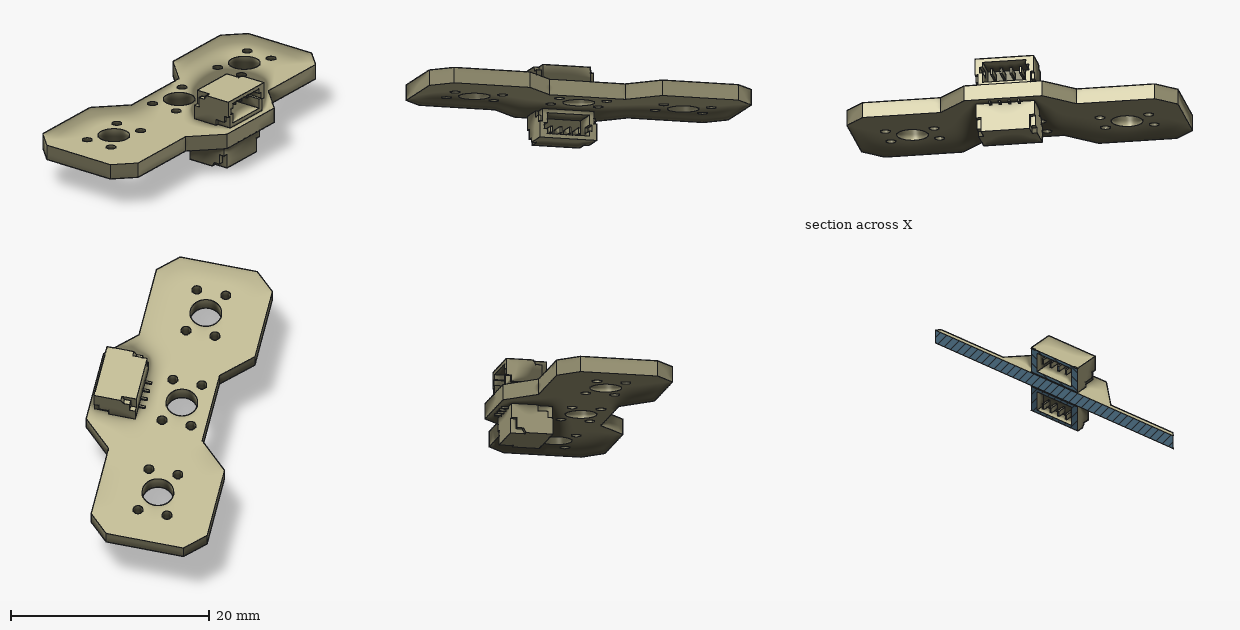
import cadquery as cq

BOARD_LENGTH = 34.0
BOARD_WIDTH = 15.0
BOARD_THICKNESS = 1.6
STEP = 3.0
CORNER_CHAMFER = 2.0
MIDDLE_LENGTH = 8.0

STATION_PITCH = 11.0
STATION_INSET = 6.0
BORE_DIAMETER = 3.2
SCREW_DIAMETER = 1.0
SCREW_SPACING_X = 3.0
SCREW_SPACING_Y = 5.0

OVERALL_HEIGHT = 7.6
STANDOFF = 0.05
HOUSING_HEIGHT = (OVERALL_HEIGHT - BOARD_THICKNESS) / 2 - STANDOFF
HOUSING_DEPTH = 4.3
HOUSING_WIDTH = 6.02
FRONT_X = 2.4
REAR_X = FRONT_X - HOUSING_DEPTH
CONNECTOR_AXIS_INSET = 3.0

REAR_NOTCH_WIDTH = 0.5
REAR_NOTCH_DEPTH = 1.5
REAR_NOTCH_SHORT = 0.58
REAR_RAMP_RUN = 0.27
REAR_LEDGE_DROP = 0.48
REAR_NOTCH_DROP = 1.5

FRONT_NOTCH_WIDTH = 0.3
FRONT_NOTCH_DEPTH = 1.53
FRONT_NOTCH_SHORT = 0.5
FRONT_LEDGE_HEIGHT = 0.6
FRONT_NOTCH_HEIGHT = 1.25

SOCKET_WIDTH = 4.42
SOCKET_WALL = 0.4
SOCKET_DEPTH = 3.0
KEY_DEPTH = 1.5
KEY_SPAN = 5.03
KEY_HEIGHT = 0.6
KEY_BASE = 1.43

CONTACT_COUNT = 4
CONTACT_PITCH = 1.0
CONTACT_WIDTH = 0.2
BLADE_BASE = 1.55
BLADE_HEIGHT = 0.6
BLADE_LENGTH = 2.05
TAIL_LENGTH = 0.68
TAIL_HEIGHT = 0.2


def make_board():
    left = -BOARD_WIDTH / 2
    right = BOARD_WIDTH / 2
    end = BOARD_LENGTH / 2
    shoulder = end - CORNER_CHAMFER
    middle = MIDDLE_LENGTH / 2
    upper_half = [
        (right, middle),
        (right - STEP, middle + STEP),
        (right - STEP, shoulder),
        (right - STEP - CORNER_CHAMFER, end),
        (left + CORNER_CHAMFER, end),
        (left, shoulder),
        (left, middle + STEP),
        (left + STEP, middle),
    ]
    lower_half = [(x, -y) for x, y in reversed(upper_half)]
    board = (
        cq.Workplane("XY")
        .workplane(offset=-BOARD_THICKNESS / 2)
        .polyline(upper_half + lower_half)
        .close()
        .extrude(BOARD_THICKNESS)
    )
    station_x = left + STATION_INSET
    for station in (-1, 0, 1):
        hole_plane = board.faces(">Z").workplane(origin=(station_x, station * STATION_PITCH, 0))
        board = hole_plane.hole(BORE_DIAMETER)
        hole_plane = board.faces(">Z").workplane(origin=(station_x, station * STATION_PITCH, 0))
        board = hole_plane.rarray(SCREW_SPACING_X, SCREW_SPACING_Y, 2, 2).hole(SCREW_DIAMETER)
    return board


def block(x_start, x_end, width, z_start, height, y_center=0):
    """Box centred across Y on y_center."""
    return (
        cq.Workplane("XY")
        .box(x_end - x_start, width, height, centered=(False, True, False))
        .translate((x_start, y_center, z_start))
    )


def side_notches(profile, width):
    """Cutters with an XZ profile, reaching one width into each side of the housing."""
    cutter = (
        cq.Workplane("XZ", origin=(0, HOUSING_WIDTH / 2, 0))
        .polyline(profile)
        .close()
        .extrude(width)
    )
    return cutter.union(cutter.mirror("XZ"))


def rear_notches():
    ledge_z = HOUSING_HEIGHT - REAR_LEDGE_DROP
    floor_z = HOUSING_HEIGHT - REAR_NOTCH_DROP
    profile = [
        (REAR_X, HOUSING_HEIGHT),
        (REAR_X, floor_z),
        (REAR_X + REAR_NOTCH_SHORT, floor_z),
        (REAR_X + REAR_NOTCH_SHORT, ledge_z),
        (REAR_X + REAR_NOTCH_DEPTH - REAR_RAMP_RUN, ledge_z),
        (REAR_X + REAR_NOTCH_DEPTH, HOUSING_HEIGHT),
    ]
    return side_notches(profile, REAR_NOTCH_WIDTH)


def front_notches():
    profile = [
        (FRONT_X, 0),
        (FRONT_X, FRONT_NOTCH_HEIGHT),
        (FRONT_X - FRONT_NOTCH_SHORT, FRONT_NOTCH_HEIGHT),
        (FRONT_X - FRONT_NOTCH_SHORT, FRONT_LEDGE_HEIGHT),
        (FRONT_X - FRONT_NOTCH_DEPTH, FRONT_LEDGE_HEIGHT),
        (FRONT_X - FRONT_NOTCH_DEPTH, 0),
    ]
    return side_notches(profile, FRONT_NOTCH_WIDTH)


def make_connector():
    """Connector with its contacts, standing on Z = 0."""
    socket_floor_x = FRONT_X - SOCKET_DEPTH
    socket_height = HOUSING_HEIGHT - 2 * SOCKET_WALL
    connector = (
        block(REAR_X, FRONT_X, HOUSING_WIDTH, 0, HOUSING_HEIGHT)
        .cut(rear_notches())
        .cut(front_notches())
        .cut(block(socket_floor_x, FRONT_X, SOCKET_WIDTH, SOCKET_WALL, socket_height))
        .cut(block(FRONT_X - KEY_DEPTH, FRONT_X, KEY_SPAN, KEY_BASE, KEY_HEIGHT))
    )
    for index in range(CONTACT_COUNT):
        y = (index - (CONTACT_COUNT - 1) / 2) * CONTACT_PITCH
        blade_tip_x = socket_floor_x + BLADE_LENGTH
        blade = block(socket_floor_x, blade_tip_x, CONTACT_WIDTH, BLADE_BASE, BLADE_HEIGHT, y)
        tail = block(REAR_X - TAIL_LENGTH, REAR_X, CONTACT_WIDTH, 0, TAIL_HEIGHT, y)
        connector = connector.union(blade).union(tail)
    return connector


def place_connectors():
    """One connector above the board and one below, turned half a turn about their shared axis."""
    axis_x = BOARD_WIDTH / 2 - CONNECTOR_AXIS_INSET
    raised = make_connector().translate((0, 0, BOARD_THICKNESS / 2 + STANDOFF))
    placed = []
    for angle in (0, 180):
        turned = raised.rotate((0, 0, 0), (0, 1, 0), angle)
        placed.append(turned.translate((axis_x, 0, 0)))
    return placed


board = make_board()
connectors = place_connectors()

result = cq.Compound.makeCompound([board.val(), *[connector.val() for connector in connectors]])